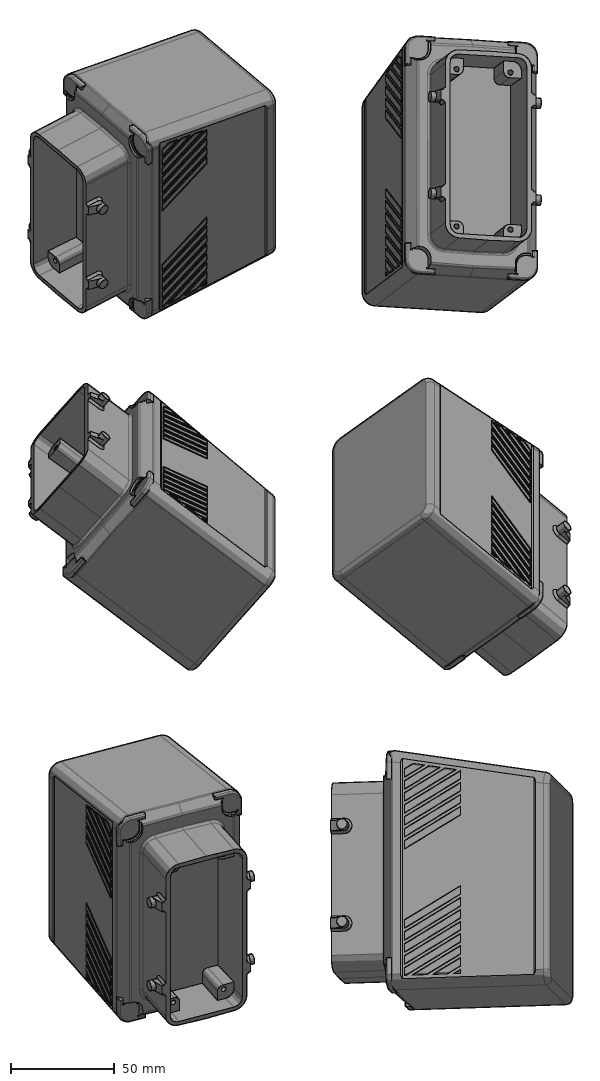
import cadquery as cq
import math


LENGTH = 108.97
WIDTH = 66.01
HALF_WIDTH = WIDTH / 2
HEIGHT = 117.32
BOTTOM_Z = -58.2
TOP_Z = BOTTOM_Z + HEIGHT
ROOF_SLOPE = math.tan(math.radians(10))
HOUSING_FRONT_Y = 31.6
HOUSING_FRONT_RADIUS = 1.0
HOUSING_EDGE_RADIUS = 6.5
REAR_EDGE_RADIUS = 3.0

SHOULDER_Y = 26.7
SHOULDER_SIDE_INSET = 5.3
SHOULDER_END_INSET = 4.0
SHOULDER_EDGE_RADIUS = 1.5
CROWN = 0.5

NECK_HALF_WIDTH = 21.65
NECK_HALF_HEIGHT = 46.2
NECK_CORNER_RADIUS = 7.0
NECK_ROOT_RADIUS = 1.3

CAVITY_DEPTH = 25.6
CAVITY_MOUTH_HALF_WIDTH = 19.2
CAVITY_FLOOR_HALF_WIDTH = 18.4
CAVITY_HALF_HEIGHT = 44.3
CAVITY_CORNER_RADIUS = 4.5

POST_FACE_Y = 8.7
POST_INNER_X = 10.1
POST_INNER_Z = 36.2
POST_EDGE_RADIUS = 3.0
SCREW_X = 13.5
SCREW_Z = 38.8
SCREW_HOLE_DIAMETER = 2.5

PEG_DIAMETER = 5.1
PEG_RADIUS = PEG_DIAMETER / 2
PEG_Y = 6.3
PEG_Z = 23.9
PEG_TIP_X = 27.6
WEB_TIP_X = 25.8
WEB_MOUTH_X = 23.7
PEG_ROOT_CHAMFER = 1.25

PAD_FACE_Y = 28.8
PAD_WIDTH = 10.9
PAD_HEIGHT = 11.7
PAD_ROUND = 4.9
PAD_BAR_LENGTH = 14.7
PAD_BAR_WIDTH = 2.6
PAD_EDGE_RADIUS = 0.8
PAD_CLEARANCE = 0.9
PAD_TOP_DROP = 0.3

PANEL_DEPTH = 0.42
PANEL_FRONT_Y = 36.0
PANEL_REAR_Y = 102.2
PANEL_EDGE = 0.9

STRIPE_FRONT_Y = 38.0
STRIPE_REAR_Y = 65.3
STRIPE_SLOPE = math.tan(math.radians(30))
STRIPE_HEIGHT = 4.05
STRIPE_PITCH = 5.87
STRIPE_ROOF_GAP = 5.95
STRIPE_BOTTOM_Z = -52.4
UPPER_STRIPE_Z = 47.0
LOWER_STRIPE_Z = -9.45


def roof_z(y):
    return TOP_Z - (y - HOUSING_FRONT_Y) * ROOF_SLOPE


def front_plane(y):
    """Workplane at depth y, local x = -X, local y = Z, normal = +Y."""
    return cq.Workplane(cq.Plane(origin=(0, y, 0), xDir=(-1, 0, 0), normal=(0, 1, 0)))


def side_plane(x):
    """Workplane at x, local x = Y, local y = Z, normal = +X."""
    return cq.Workplane("YZ", origin=(x, 0, 0))


def crowned_outline(plane, half_width, bottom, top):
    """Rectangle whose top and bottom rise to a shallow ridge in the middle."""
    return plane.polyline([
        (-half_width, bottom),
        (0, bottom - CROWN),
        (half_width, bottom),
        (half_width, top),
        (0, top + CROWN),
        (-half_width, top),
    ]).close()


def make_housing():
    """Block with a sloping roof, reaching forward to the shoulder face."""
    profile = [
        (SHOULDER_Y, BOTTOM_Z),
        (LENGTH, BOTTOM_Z),
        (LENGTH, roof_z(LENGTH)),
        (SHOULDER_Y, roof_z(SHOULDER_Y)),
    ]
    block = side_plane(-HALF_WIDTH).polyline(profile).close().extrude(WIDTH)
    block = block.edges("(not |X) and (not |Z)").fillet(HOUSING_EDGE_RADIUS)
    return block.faces(">Y").edges().fillet(REAR_EDGE_RADIUS)


def make_shoulder_flare():
    """Crowned frustum that widens from the shoulder face to beyond the housing."""
    def section(y):
        growth = (y - SHOULDER_Y) / (HOUSING_FRONT_Y - SHOULDER_Y) - 1
        end_growth = growth * SHOULDER_END_INSET - CROWN
        return crowned_outline(
            front_plane(y),
            HALF_WIDTH + growth * SHOULDER_SIDE_INSET,
            BOTTOM_Z - end_growth,
            TOP_Z + end_growth,
        ).wire().val()

    flare = cq.Solid.makeLoft([section(SHOULDER_Y), section(LENGTH)], True)
    return cq.Workplane(flare).faces("<Y").edges().fillet(SHOULDER_EDGE_RADIUS)


def make_neck():
    outline = crowned_outline(front_plane(0), NECK_HALF_WIDTH, -NECK_HALF_HEIGHT, NECK_HALF_HEIGHT)
    neck = outline.extrude(HOUSING_FRONT_Y)
    return neck.edges("|Y").edges("<X or >X").fillet(NECK_CORNER_RADIUS)


def housing_prism(start_y, end_y, top):
    """Straight prism with the rounded cross-section of the housing."""
    height = top - BOTTOM_Z
    prism = cq.Workplane("XY").box(WIDTH, end_y - start_y, height, centered=(True, False, False))
    return prism.translate((0, start_y, BOTTOM_Z)).edges("|Y").fillet(HOUSING_EDGE_RADIUS)


def make_body():
    housing = make_housing().intersect(make_shoulder_flare())
    rim = housing.edges(cq.selectors.BoxSelector(
        (-WIDTH, HOUSING_FRONT_Y - 1, BOTTOM_Z - 1),
        (WIDTH, HOUSING_FRONT_Y + 1, TOP_Z + 1),
    ))
    housing = rim.fillet(HOUSING_FRONT_RADIUS)
    body = housing.union(make_neck())
    root = body.edges(cq.selectors.BoxSelector(
        (-NECK_HALF_WIDTH - 1, SHOULDER_Y - 0.1, -NECK_HALF_HEIGHT - 1),
        (NECK_HALF_WIDTH + 1, SHOULDER_Y + 0.1, NECK_HALF_HEIGHT + 1),
    ))
    return root.fillet(NECK_ROOT_RADIUS)


def make_cavity():
    sketch_mouth = cq.Sketch().rect(2 * CAVITY_MOUTH_HALF_WIDTH, 2 * CAVITY_HALF_HEIGHT)
    sketch_floor = cq.Sketch().rect(2 * CAVITY_FLOOR_HALF_WIDTH, 2 * CAVITY_HALF_HEIGHT)
    mouth = sketch_mouth.vertices().fillet(CAVITY_CORNER_RADIUS)
    floor = sketch_floor.vertices().fillet(CAVITY_CORNER_RADIUS)
    return front_plane(0).placeSketch(mouth, floor.moved(cq.Location((0, 0, CAVITY_DEPTH)))).loft()


def post(side, end):
    """Screw post filling one cavity corner; side is the sign of X, end the sign of Z."""
    width = NECK_HALF_WIDTH - POST_INNER_X
    height = NECK_HALF_HEIGHT - POST_INNER_Z
    block = (
        front_plane(POST_FACE_Y)
        .center(-side * (POST_INNER_X + width / 2), end * (POST_INNER_Z + height / 2))
        .rect(width, height)
        .extrude(HOUSING_FRONT_Y - POST_FACE_Y)
    )
    inner_edge = "{}X".format("<" if side > 0 else ">")
    inner_end = "{}Z".format("<" if end > 0 else ">")
    return block.edges("|Y").edges(inner_edge).edges(inner_end).fillet(POST_EDGE_RADIUS)


def screw_holes():
    centers = [(side * SCREW_X, end * SCREW_Z) for side in (-1, 1) for end in (-1, 1)]
    holes = front_plane(POST_FACE_Y).pushPoints(centers).circle(SCREW_HOLE_DIAMETER / 2)
    return holes.extrude(CAVITY_DEPTH - POST_FACE_Y)


def corner_box(side, edge_z, end, width, height, start_y, end_y):
    """Box measured inwards from one corner of the housing outline."""
    box = cq.Workplane("XY").box(width, end_y - start_y, height)
    center_x = side * (HALF_WIDTH - width / 2)
    center_z = edge_z - end * height / 2
    return box.translate((center_x, (start_y + end_y) / 2, center_z))


def pad_plate(side, edge_z, end, growth, start_y, end_y):
    """Corner plate, rounded towards the neck; growth widens it evenly."""
    plate = corner_box(side, edge_z, end, PAD_WIDTH + growth, PAD_HEIGHT + growth, start_y, end_y)
    inner_edge = "{}X".format("<" if side > 0 else ">")
    inner_end = "{}Z".format("<" if end > 0 else ">")
    return plate.edges("|Y").edges(inner_edge).edges(inner_end).fillet(PAD_ROUND + growth)


def pad_pocket(side, edge_z, end):
    """Room in the shoulder for one pad, widened by a bevel towards the front."""
    pocket = pad_plate(side, edge_z, end, 0, SHOULDER_Y, PAD_FACE_Y)
    bevel = pad_plate(side, edge_z, end, PAD_CLEARANCE, SHOULDER_Y, PAD_FACE_Y)
    bevel = bevel.faces(">Y").edges().chamfer(PAD_FACE_Y - SHOULDER_Y - 0.01, PAD_CLEARANCE)
    return pocket.union(bevel)


def make_pad(side, end):
    edge_z = TOP_Z - PAD_TOP_DROP if end > 0 else BOTTOM_Z
    start_y = PAD_FACE_Y
    pad = pad_plate(side, edge_z, end, 0, start_y, HOUSING_FRONT_Y)
    for width, height in ((PAD_BAR_LENGTH, PAD_BAR_WIDTH), (PAD_BAR_WIDTH, PAD_BAR_LENGTH)):
        pad = pad.union(corner_box(side, edge_z, end, width, height, start_y, HOUSING_FRONT_Y))
    pad = pad.intersect(housing_prism(start_y, HOUSING_FRONT_Y, TOP_Z - PAD_TOP_DROP))
    return pad.faces("<Y").edges().fillet(PAD_EDGE_RADIUS)


def add_pegs(body, side):
    """Two locking pegs on one neck side, each braced by a sloping web to the mouth."""
    web_profile = [
        (0, 0),
        (side * WEB_MOUTH_X, 0),
        (side * WEB_TIP_X, PEG_Y),
        (0, PEG_Y),
    ]
    root_x = side * NECK_HALF_WIDTH
    for z in (-PEG_Z, PEG_Z):
        web = cq.Workplane("XY", origin=(0, 0, z)).polyline(web_profile).close().extrude(PEG_RADIUS, both=True)
        pin = side_plane(0).center(PEG_Y, z).circle(PEG_RADIUS).extrude(side * PEG_TIP_X)
        body = body.union(web.union(pin))
        reach = PEG_RADIUS + 0.1
        root = body.edges(cq.selectors.BoxSelector(
            (root_x - 0.1, 0.1, z - reach),
            (root_x + 0.1, PEG_Y + reach, z + reach),
        ))
        body = root.chamfer(PEG_ROOT_CHAMFER)
    return body


def stripe(rear_top_z):
    """One slanting stripe in the (Y, Z) plane, falling towards the mouth."""
    drop = (STRIPE_REAR_Y - STRIPE_FRONT_Y) * STRIPE_SLOPE
    outline = [
        (STRIPE_REAR_Y, rear_top_z),
        (STRIPE_REAR_Y, rear_top_z - STRIPE_HEIGHT),
        (STRIPE_FRONT_Y, rear_top_z - STRIPE_HEIGHT - drop),
        (STRIPE_FRONT_Y, rear_top_z - drop),
    ]
    return side_plane(0).polyline(outline).close().extrude(HALF_WIDTH)


def make_stripes():
    """Both stripe groups, trimmed parallel to the roof and to the bottom."""
    field = side_plane(0).polyline([
        (STRIPE_FRONT_Y, STRIPE_BOTTOM_Z),
        (STRIPE_REAR_Y, STRIPE_BOTTOM_Z),
        (STRIPE_REAR_Y, roof_z(STRIPE_REAR_Y) - STRIPE_ROOF_GAP),
        (STRIPE_FRONT_Y, roof_z(STRIPE_FRONT_Y) - STRIPE_ROOF_GAP),
    ]).close().extrude(HALF_WIDTH)
    upper = [UPPER_STRIPE_Z - index * STRIPE_PITCH for index in range(-3, 4)]
    lower = [LOWER_STRIPE_Z - index * STRIPE_PITCH for index in range(8)]
    stripes = cq.Workplane("YZ")
    for z in upper + lower:
        stripes = stripes.add(stripe(z).intersect(field).vals())
    return stripes


def make_panel_cut():
    """Shallow slab with bevelled ends, less the stripes, for the +X side."""
    floor_x = HALF_WIDTH - PANEL_DEPTH
    profile = [
        (HALF_WIDTH, PANEL_FRONT_Y),
        (floor_x, PANEL_FRONT_Y + PANEL_EDGE),
        (floor_x, PANEL_REAR_Y - PANEL_EDGE),
        (HALF_WIDTH, PANEL_REAR_Y),
    ]
    slab = cq.Workplane("XY").polyline(profile).close().extrude(HEIGHT, both=True)
    for bar in make_stripes().vals():
        slab = slab.cut(cq.Workplane(bar))
    return slab


def make_part():
    body = make_body()
    cavity = make_cavity()
    panel_cut = make_panel_cut()
    body = body.cut(panel_cut).cut(panel_cut.mirror("YZ"))
    for side in (-1, 1):
        body = add_pegs(body, side)
        for end, edge_z in ((-1, BOTTOM_Z), (1, TOP_Z)):
            body = body.cut(pad_pocket(side, edge_z, end))
            body = body.union(make_pad(side, end))
            cavity = cavity.cut(post(side, end))
    return body.cut(cavity).cut(screw_holes())


result = make_part()